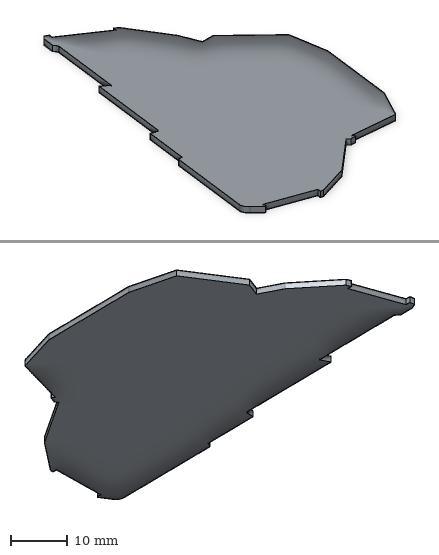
import cadquery as cq

length = 90.3
height = 46.94
thickness = 1.2

left_end = -length / 2
right_end = length / 2
bottom = -height / 2
top = height / 2

cab_axis = -5.0
cab_roof_half_width = 11.2
cab_shoulder_half_width = 21.27
cab_shoulder_drop = 2.75
cab_shoulder_y = top - cab_shoulder_drop

left_waist = (-31.9, bottom + 32.0)
left_notch = (-30.15, bottom + 28.95)
left_hip = (-34.85, bottom + 26.3)
left_lip_top = (-42.8, bottom + 18.75)
left_lip_tip = (-43.05, bottom + 17.7)
left_lip_root = (-42.05, bottom + 17.65)

left_toe_top = bottom + 5.95
left_toe_chamfer_y = bottom + 4.85
left_ankle_x = -44.1
left_sole_y = bottom + 4.3
left_sole_start = -43.9
left_sole_end = -40.55
sole_arc_depth = 0.1

upper_step_y = bottom + 5.1
upper_step_start = -39.6
upper_step_end = -18.75
middle_step_y = bottom + 2.95
middle_step_start = -19.45
middle_step_end = 3.9
middle_step_corner = (4.5, bottom + 2.2)
lower_step_y = bottom + 1.0
lower_step_start = 4.8
lower_step_end = 17.4
base_start = 18.1
base_end = 42.2

heel_corner = (44.0, bottom + 1.2)
right_toe_tip_y = bottom + 3.75
right_toe_top = (44.8, bottom + 4.05)
right_ankle = (44.05, bottom + 3.8)

right_lip_root = (42.05, bottom + 15.75)
right_lip_tip = (43.05, bottom + 15.75)
right_lip_top = (42.8, bottom + 16.5)
right_hip = (35.8, bottom + 23.65)
nub_foot = (22.75, bottom + 31.05)
nub_tip = (23.15, bottom + 31.8)
nub_top = (22.35, bottom + 33.15)
nub_root = (21.7, bottom + 32.75)


def draw_top_and_left(sketch):
    """From the right end of the cab roof round to the inner end of the left sole."""
    sketch = sketch.moveTo(cab_axis + cab_roof_half_width, top)
    sketch = sketch.lineTo(cab_axis - cab_roof_half_width, top)
    sketch = sketch.lineTo(cab_axis - cab_shoulder_half_width, cab_shoulder_y)
    for point in (left_waist, left_notch, left_hip, left_lip_top, left_lip_tip, left_lip_root):
        sketch = sketch.lineTo(*point)
    sketch = sketch.lineTo(left_ankle_x, left_toe_top)
    sketch = sketch.lineTo(left_end, left_toe_top)
    sketch = sketch.lineTo(left_end, left_toe_chamfer_y)
    sketch = sketch.lineTo(left_sole_start, left_sole_y)
    return sketch.lineTo(left_sole_end, left_sole_y)


def draw_bottom(sketch):
    """Stepped bottom edge, left to right, ending with the rounded heel."""
    sketch = sketch.sagittaArc((upper_step_start, upper_step_y), sole_arc_depth)
    sketch = sketch.lineTo(upper_step_end, upper_step_y)
    sketch = sketch.lineTo(middle_step_start, middle_step_y)
    sketch = sketch.lineTo(middle_step_end, middle_step_y)
    sketch = sketch.tangentArcPoint(middle_step_corner, relative=False)
    sketch = sketch.lineTo(lower_step_start, lower_step_y)
    sketch = sketch.lineTo(lower_step_end, lower_step_y)
    sketch = sketch.lineTo(base_start, bottom)
    sketch = sketch.lineTo(base_end, bottom)
    return sketch.tangentArcPoint(heel_corner, relative=False)


def draw_right(sketch):
    """From the right toe up the flank, past the latch nub, to the cab roof."""
    sketch = sketch.lineTo(right_end, right_toe_tip_y)
    for point in (right_toe_top, right_ankle, right_lip_root, right_lip_tip, right_lip_top):
        sketch = sketch.lineTo(*point)
    for point in (right_hip, nub_foot, nub_tip, nub_top, nub_root):
        sketch = sketch.lineTo(*point)
    sketch = sketch.lineTo(cab_axis + cab_shoulder_half_width, cab_shoulder_y)
    return sketch.close()


outline = draw_right(draw_bottom(draw_top_and_left(cq.Workplane("XY"))))
result = outline.extrude(thickness)